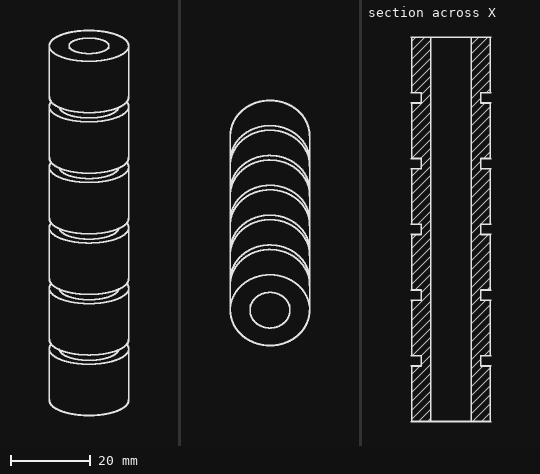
import cadquery as cq

total_length = 96.5
outer_diameter = 20.0
bore_diameter = 10.0
groove_diameter = 15.0
band_length = 14.0
band_count = 6

groove_count = band_count - 1
groove_width = (total_length - band_count * band_length) / groove_count
band_pitch = band_length + groove_width


def cylinder(diameter, length, start_height=0.0):
    """Cylinder on the Z axis, rising from start_height."""
    return cq.Workplane("XY").workplane(offset=start_height).circle(diameter / 2).extrude(length)


sleeve = cylinder(groove_diameter, total_length)
for index in range(band_count):
    sleeve = sleeve.union(cylinder(outer_diameter, band_length, index * band_pitch))

result = sleeve.cut(cylinder(bore_diameter, total_length))